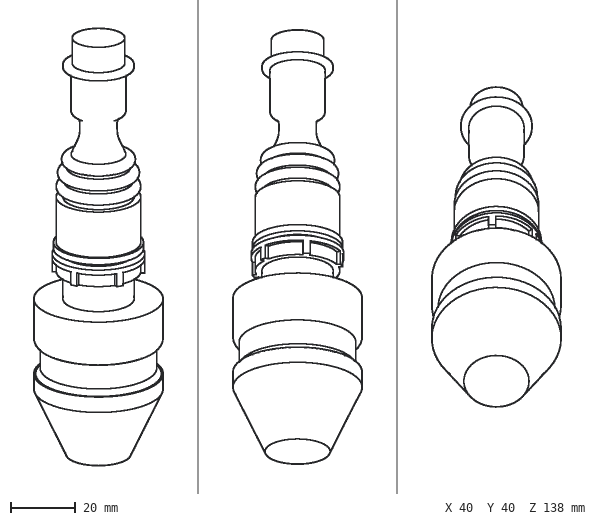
import cadquery as cq
import math

rim_radius = 20.0
tip_radius = 10.1
tip_height = 21.5
lower_rim_top = 26.6
groove_shoulder_radius = 19.5
groove_radius = 18.1
groove_bottom = 28.5
groove_top = 36.6
nozzle_top = 51.5
rim_round = rim_radius - groove_radius

shaft_radius = 11.0
latch_radius = 14.4
latch_base_radius = 13.1
latch_bottom = 60.6
lug_top = 64.9
latch_top = 66.5
lug_count = 6
lug_width = 2.2
collar_radius = 14.0
collar_bottom = 68.2
collar_top = 70.2
sleeve_radius = 13.1
sleeve_top = 85.3

core_arc_radius = 40.0
dome_top = 103.1
bead_section_radius = 1.7
beads = [(13.1, 88.7), (12.7, 93.3), (11.5, 97.7)]

waist_radius = 5.8
waist_bottom = 108.0
waist_top = 109.7
head_bottom_radius = 7.7
head_bottom = 112.7
head_radius = 8.5
head_straight_bottom = 114.3
flange_radius = 11.0
flange_bottom = 127.8
flange_top = 129.6
flange_round = 0.5
cap_radius = 8.1
total_height = 138.0


def ring(radius, bottom, top):
    """Solid disc on the Z axis between two heights."""
    return cq.Workplane("XY").workplane(offset=bottom).circle(radius).extrude(top - bottom)


def core_radius(height):
    """Radius of the domed core, which leaves the sleeve vertically."""
    rise = height - sleeve_top
    return shaft_radius - core_arc_radius + math.sqrt(core_arc_radius**2 - rise**2)


def make_nozzle():
    return (
        cq.Workplane("XZ")
        .lineTo(tip_radius, 0)
        .lineTo(rim_radius, tip_height)
        .lineTo(rim_radius, lower_rim_top)
        .lineTo(groove_shoulder_radius, lower_rim_top)
        .lineTo(groove_radius, groove_bottom)
        .lineTo(groove_radius, groove_top)
        .radiusArc((rim_radius, groove_top + rim_round), -rim_round)
        .lineTo(rim_radius, nozzle_top)
        .lineTo(0, nozzle_top)
        .close()
        .revolve(360, (0, 0, 0), (0, 1, 0))
    )


def make_stem_core():
    """Revolved stem without its latch ring, beads and flange."""
    dome_middle = (sleeve_top + dome_top) / 2
    return (
        cq.Workplane("XZ")
        .moveTo(0, nozzle_top)
        .lineTo(shaft_radius, nozzle_top)
        .lineTo(shaft_radius, collar_bottom)
        .lineTo(collar_radius, collar_bottom)
        .lineTo(collar_radius, collar_top)
        .lineTo(sleeve_radius, collar_top)
        .lineTo(sleeve_radius, sleeve_top)
        .lineTo(shaft_radius, sleeve_top)
        .threePointArc((core_radius(dome_middle), dome_middle), (core_radius(dome_top), dome_top))
        .tangentArcPoint((waist_radius, waist_bottom), relative=False)
        .lineTo(waist_radius, waist_top)
        .tangentArcPoint((head_bottom_radius, head_bottom), relative=False)
        .radiusArc((head_radius, head_straight_bottom), head_bottom - head_straight_bottom)
        .lineTo(head_radius, flange_bottom)
        .lineTo(cap_radius, flange_bottom)
        .lineTo(cap_radius, total_height)
        .lineTo(0, total_height)
        .close()
        .revolve(360, (0, 0, 0), (0, 1, 0))
    )


def make_latch_ring():
    """Ring with evenly spaced lugs hanging below its full-radius lip."""
    lip = ring(latch_radius, lug_top, latch_top)
    base = ring(latch_base_radius, latch_bottom, lug_top)
    envelope = ring(latch_radius, latch_bottom, lug_top)
    latch = lip.union(base)
    for index in range(lug_count):
        lug = (
            cq.Workplane("XY")
            .workplane(offset=latch_bottom)
            .rect(latch_radius, lug_width)
            .extrude(lug_top - latch_bottom)
            .translate((latch_radius / 2, 0, 0))
            .rotate((0, 0, 0), (0, 0, 1), index * 360 / lug_count)
            .intersect(envelope)
        )
        latch = latch.union(lug)
    return latch


def make_bead(outer_radius, height):
    """Bead with a half-round edge, filled to the axis."""
    centre_radius = outer_radius - bead_section_radius
    bottom = height - bead_section_radius
    top = height + bead_section_radius
    return (
        cq.Workplane("XZ")
        .moveTo(0, bottom)
        .lineTo(centre_radius, bottom)
        .threePointArc((outer_radius, height), (centre_radius, top))
        .lineTo(0, top)
        .close()
        .revolve(360, (0, 0, 0), (0, 1, 0))
    )


def make_stem():
    flange = ring(flange_radius, flange_bottom, flange_top).edges().fillet(flange_round)
    stem = make_stem_core().union(make_latch_ring()).union(flange)
    for outer_radius, height in beads:
        stem = stem.union(make_bead(outer_radius, height))
    return stem


nozzle = make_nozzle()
stem = make_stem()
result = cq.Compound.makeCompound([nozzle.val(), *stem.vals()])